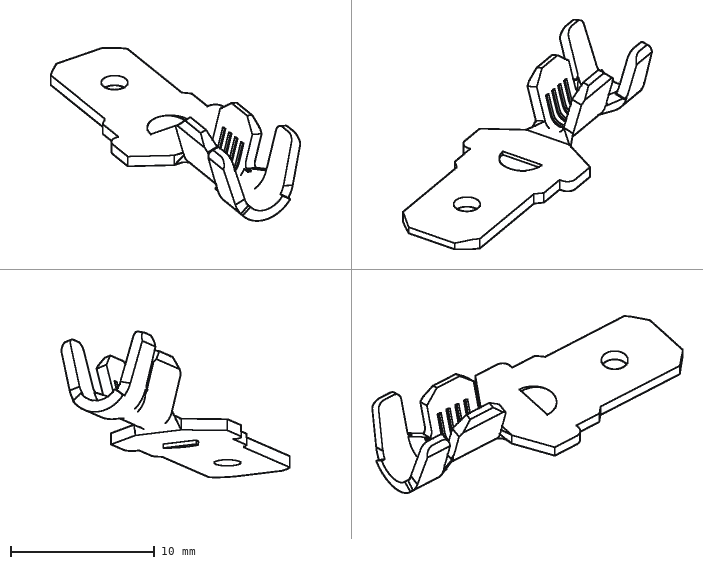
import cadquery as cq
import math


sheet = 0.81

tip_half_width = 1.91
blade_half_width = 3.2
step_half_width = 3.71
shoulder_half_width = 4.59
neck_half_width = 1.8
tip_corner_x = 1.25
step_start_x = 8.18
step_end_x = 8.67
shoulder_x = 10.68
shoulder_end_x = 13.23
neck_x = 14.87
shoulder_radius = 0.65
tip_bevel_length = 0.9
tip_bevel_depth = 0.15
hole_x = 4.52
hole_diameter = 1.85

dimple_flat_x = 11.63
dimple_pocket_radius = 1.62
dimple_bump_radius = 1.3
dimple_depth = 0.28

arm_tilt = 15.0
tangent_angle = 90.0 - arm_tilt
arm_tip_thickness = 0.46
sin_tilt = math.sin(math.radians(arm_tilt))
cos_tilt = math.cos(math.radians(arm_tilt))

wire_start_x = 15.73
wire_end_x = 19.83
wire_inner_radius = 0.8
wire_axis_z = wire_inner_radius + sheet
wire_arm_length = 3.63
wire_corner_run = 1.05
wire_corner_drop = 0.95
wire_bevel_length = 0.68
wire_root_fillet = 0.5

groove_count = 4
groove_first_x = 16.65
groove_pitch = 0.77
groove_width = 0.32
groove_floor_width = 0.12
groove_depth = 0.1
groove_arm_reach = 1.6

insulation_start_x = 21.33
overall_length = 23.88
insulation_inner_radius = 1.67
insulation_bottom_z = -0.38
insulation_axis_z = insulation_bottom_z + insulation_inner_radius + sheet
insulation_arm_length = 3.79
insulation_bevel_length = 0.68
insulation_tip_radius = 0.6
insulation_root_fillet = 0.3
lip_angle = 53.0
slant_top_x = 23.27
slant_top_z = 4.95
slant_bottom_x = 23.65
slant_bottom_z = 0.6

root_strip = 0.08


def mirrored_outline(points):
    """Closed XY outline from the points of its +Y half, ordered from -X to +X."""
    return points + [(x, -y) for x, y in reversed(points)]


def is_at(edge, x, half_width):
    """True for an upright edge at x on either long side of the plate."""
    center = edge.Center()
    return math.isclose(center.x, x) and math.isclose(abs(center.y), half_width)


def make_blade():
    half_outline = [
        (0, tip_half_width),
        (tip_corner_x, blade_half_width),
        (step_start_x, blade_half_width),
        (step_end_x, step_half_width),
        (shoulder_x, step_half_width),
        (shoulder_x, shoulder_half_width),
        (shoulder_end_x, shoulder_half_width),
        (neck_x, neck_half_width),
    ]
    plate = cq.Workplane("XY").polyline(mirrored_outline(half_outline)).close().extrude(sheet)
    outer_corners = [
        edge for edge in plate.edges("|Z").vals() if is_at(edge, shoulder_x, shoulder_half_width)
    ]
    plate = plate.newObject(outer_corners).fillet(shoulder_radius)

    side_profile = [
        (0, tip_bevel_depth),
        (tip_bevel_length, 0),
        (neck_x, 0),
        (neck_x, sheet),
        (tip_bevel_length, sheet),
        (0, sheet - tip_bevel_depth),
    ]
    bevelled = (
        cq.Workplane("XZ").polyline(side_profile).close().extrude(shoulder_half_width + sheet, both=True)
    )
    hole = cq.Workplane("XY").center(hole_x, 0).circle(hole_diameter / 2).extrude(sheet)
    return plate.intersect(bevelled).cut(hole)


def half_round_wedge(radius, face_z):
    """Half-round prism below face_z whose floor slopes from nothing at its hinge to dimple_depth."""
    hinge_x = dimple_flat_x - dimple_pocket_radius
    half_round = (
        cq.Workplane("XY", origin=(dimple_flat_x, 0, face_z - sheet))
        .moveTo(0, -radius)
        .threePointArc((-radius, 0), (0, radius))
        .close()
        .extrude(sheet)
    )
    wedge_profile = [(hinge_x, face_z), (dimple_flat_x, face_z), (dimple_flat_x, face_z - dimple_depth)]
    wedge = cq.Workplane("XZ").polyline(wedge_profile).close().extrude(2 * radius, both=True)
    return half_round.intersect(wedge)


def arc_point(radius, angle, axis_z):
    """(Y, Z) at an angle measured from straight down around a barrel axis."""
    turn = math.radians(angle)
    return radius * math.sin(turn), axis_z - radius * math.cos(turn)


def trough_section(x, inner_radius, axis_z, half_angle, strip=0.0):
    """Closed bent-sheet section at x, spanning +-half_angle, with optional straight strips at its ends."""
    outer_radius = inner_radius + sheet
    outer_y, outer_z = arc_point(outer_radius, half_angle, axis_z)
    inner_y, inner_z = arc_point(inner_radius, half_angle, axis_z)
    section = cq.Workplane("YZ", origin=(x, 0, 0)).moveTo(-outer_y, outer_z)
    section = section.threePointArc((0, axis_z - outer_radius), (outer_y, outer_z))
    rise_y = strip * sin_tilt
    rise_z = strip * cos_tilt
    if strip:
        section = section.lineTo(outer_y + rise_y, outer_z + rise_z)
    section = section.lineTo(inner_y + rise_y, inner_z + rise_z)
    if strip:
        section = section.lineTo(inner_y, inner_z)
    section = section.threePointArc((0, axis_z - inner_radius), (-inner_y, inner_z))
    if strip:
        section = section.lineTo(-inner_y - rise_y, inner_z + rise_z)
        section = section.lineTo(-outer_y - rise_y, outer_z + rise_z)
    return section.close()


def ruled_loft(first, second):
    wires = [first.val(), second.val()]
    return cq.Workplane(cq.Solid.makeLoft(wires, True))


def make_neck():
    """Sheet forming from the flat plate into the wire barrel."""
    flat = (
        cq.Workplane("YZ", origin=(neck_x, 0, 0))
        .moveTo(-neck_half_width, 0)
        .lineTo(neck_half_width, 0)
        .lineTo(neck_half_width, sheet)
        .lineTo(-neck_half_width, sheet)
        .close()
    )
    trough = trough_section(wire_start_x, wire_inner_radius, wire_axis_z, tangent_angle)
    return ruled_loft(flat, trough)


def make_transition():
    """Sheet widening from the wire barrel to the insulation barrel."""
    narrow = trough_section(wire_end_x, wire_inner_radius, wire_axis_z, tangent_angle, root_strip)
    wide = trough_section(
        insulation_start_x, insulation_inner_radius, insulation_axis_z, tangent_angle, root_strip
    )
    return ruled_loft(narrow, wide)


def arm_plane(inner_radius, axis_z):
    """Outer face of the +Y arm: local x runs along X, local y up the arm, local z into the sheet."""
    root_y, root_z = arc_point(inner_radius + sheet, tangent_angle, axis_z)
    return cq.Plane(origin=(0, root_y, root_z), xDir=(1, 0, 0), normal=(0, -cos_tilt, sin_tilt))


def bevel_cutter(plane, arm_length, bevel_length):
    """Wedge that thins the outer side of an arm toward its tip."""
    bevel_depth = sheet - arm_tip_thickness
    side_plane = cq.Plane(origin=plane.origin, xDir=plane.yDir, normal=plane.xDir)
    wedge = [(arm_length - bevel_length, 0), (arm_length, 0), (arm_length, bevel_depth)]
    return cq.Workplane(side_plane).polyline(wedge).close().extrude(overall_length)


def root_fillet(plane, edge_x, radius, side):
    """Concave web between an arm edge and the transition; side is the X direction it spreads in."""
    top = root_strip + radius
    bulge = radius * (1 - math.sqrt(0.5))
    return (
        cq.Workplane(plane)
        .moveTo(edge_x, 0)
        .lineTo(edge_x, top)
        .threePointArc((edge_x + side * bulge, root_strip + bulge), (edge_x + side * radius, root_strip))
        .lineTo(edge_x + side * radius, 0)
        .close()
        .extrude(sheet)
    )


def both_sides(solid):
    return solid.union(solid.mirror("XZ"))


def make_groove(x):
    """Trapezoid serration following the inside of the wire barrel partway up both arms."""
    tangent_y, tangent_z = arc_point(wire_inner_radius, tangent_angle, wire_axis_z)
    end_y = tangent_y + groove_arm_reach * sin_tilt
    end_z = tangent_z + groove_arm_reach * cos_tilt
    path = (
        cq.Workplane("YZ", origin=(x, 0, 0))
        .moveTo(-end_y, end_z)
        .lineTo(-tangent_y, tangent_z)
        .threePointArc((0, wire_axis_z - wire_inner_radius), (tangent_y, tangent_z))
        .lineTo(end_y, end_z)
    )
    start_plane = cq.Plane(
        origin=(x, -end_y, end_z), xDir=(1, 0, 0), normal=(0, sin_tilt, -cos_tilt)
    )
    section = [
        (-groove_width / 2, 0),
        (-groove_floor_width / 2, groove_depth),
        (groove_floor_width / 2, groove_depth),
        (groove_width / 2, 0),
    ]
    return cq.Workplane(start_plane).polyline(section).close().sweep(path)


def make_wire_barrel():
    plane = arm_plane(wire_inner_radius, wire_axis_z)
    corner_start = wire_arm_length - wire_corner_drop
    arm_outline = [
        (wire_start_x, 0),
        (wire_start_x, corner_start),
        (wire_start_x + wire_corner_run, wire_arm_length),
        (wire_end_x - wire_corner_run, wire_arm_length),
        (wire_end_x, corner_start),
        (wire_end_x, 0),
    ]
    arm = cq.Workplane(plane).polyline(arm_outline).close().extrude(sheet)
    arm = arm.cut(bevel_cutter(plane, wire_arm_length, wire_bevel_length))
    arm = arm.union(root_fillet(plane, wire_end_x, wire_root_fillet, 1))

    trough = trough_section(wire_start_x, wire_inner_radius, wire_axis_z, tangent_angle)
    barrel = trough.extrude(wire_end_x - wire_start_x).union(both_sides(arm))
    for index in range(groove_count):
        barrel = barrel.cut(make_groove(groove_first_x + index * groove_pitch))
    return barrel


def make_insulation_barrel():
    plane = arm_plane(insulation_inner_radius, insulation_axis_z)
    slant = (slant_bottom_x - slant_top_x) / (slant_top_z - slant_bottom_z)
    root_z = plane.origin.z
    root_edge_x = slant_bottom_x - slant * (root_z - slant_bottom_z)
    tip_edge_x = root_edge_x - slant * insulation_arm_length * cos_tilt
    arm_outline = [
        (insulation_start_x, 0),
        (insulation_start_x, insulation_arm_length),
        (tip_edge_x, insulation_arm_length),
        (root_edge_x, 0),
    ]
    arm = cq.Workplane(plane).polyline(arm_outline).close().extrude(sheet)
    tip_corners = [edge for edge in arm.edges().vals() if is_tip_corner(edge, plane)]
    arm = arm.newObject(tip_corners).fillet(insulation_tip_radius)
    arm = arm.cut(bevel_cutter(plane, insulation_arm_length, insulation_bevel_length))
    arm = arm.union(root_fillet(plane, insulation_start_x, insulation_root_fillet, -1))

    length = overall_length - insulation_start_x
    trough = trough_section(
        insulation_start_x, insulation_inner_radius, insulation_axis_z, tangent_angle
    ).extrude(length)
    slanted_end = [
        (root_edge_x, root_z),
        (slant_bottom_x, slant_bottom_z),
        (slant_bottom_x, insulation_bottom_z - sheet),
        (overall_length + sheet, insulation_bottom_z - sheet),
        (overall_length + sheet, slant_top_z),
        (slant_top_x, slant_top_z),
    ]
    end_cutter = (
        cq.Workplane("XZ").polyline(slanted_end).close().extrude(shoulder_half_width, both=True)
    )
    lip = trough_section(
        insulation_start_x, insulation_inner_radius, insulation_axis_z, lip_angle
    ).extrude(length)
    return trough.cut(end_cutter).union(lip).union(both_sides(arm))


def is_tip_corner(edge, plane):
    """True for the two edges that cross the sheet at the free end of an arm."""
    crosses_sheet = abs(edge.Length() - sheet) < sheet / 100
    center = plane.toLocalCoords(edge.Center())
    return crosses_sheet and center.y > insulation_arm_length / 2


blade = make_blade()
blade = blade.union(half_round_wedge(dimple_bump_radius, 0))
blade = blade.cut(half_round_wedge(dimple_pocket_radius, sheet))

result = (
    blade.union(make_neck())
    .union(make_wire_barrel())
    .union(make_transition())
    .union(make_insulation_barrel())
)